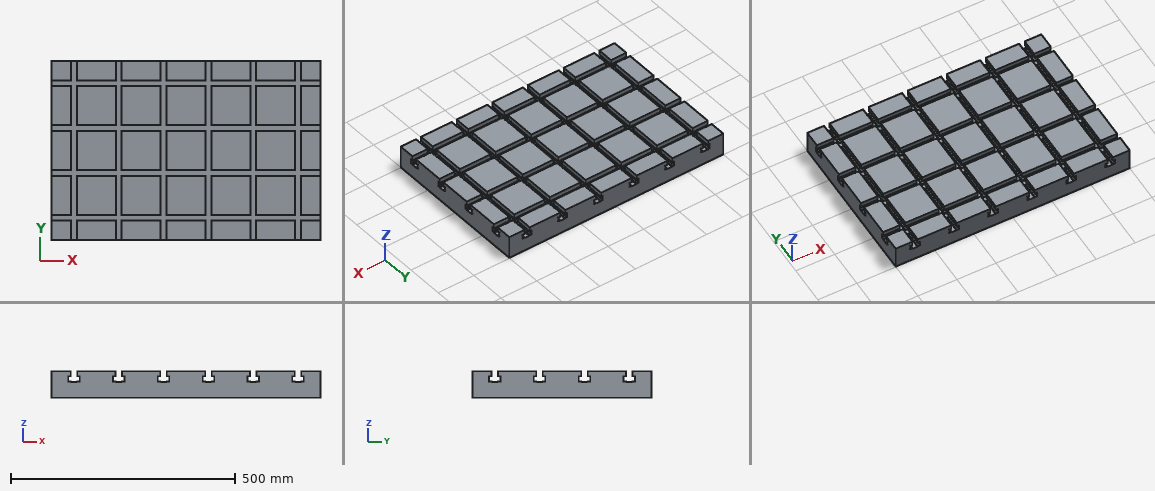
import cadquery as cq

LENGTH = 600.0
WIDTH = 400.0
HEIGHT = 60.0

SLOT_PITCH = 100.0
SLOTS_ACROSS_LENGTH = 6
SLOTS_ACROSS_WIDTH = 4

NECK_WIDTH = 14.0
NECK_DEPTH = 12.0
HEAD_WIDTH = 25.0
HEAD_DEPTH = 23.0
RELIEF_STEP = 1.0


def slot_section(plane, center):
    """T-slot outline on a vertical plane, centered at a distance along the plate side."""
    neck = NECK_WIDTH / 2
    head = HEAD_WIDTH / 2
    half = [
        (neck, 0),
        (neck, -NECK_DEPTH),
        (head, -NECK_DEPTH),
        (head, -HEAD_DEPTH),
        (neck, -HEAD_DEPTH),
        (neck - RELIEF_STEP, -HEAD_DEPTH - RELIEF_STEP),
    ]
    mirrored_half = [(-offset, rise) for offset, rise in reversed(half)]
    outline = [(center + offset, HEIGHT + rise) for offset, rise in half + mirrored_half]
    return cq.Workplane(plane).polyline(outline).close()


def slot_centers(count):
    """Positions of evenly pitched slots, symmetric about the plate center."""
    return [(index - (count - 1) / 2) * SLOT_PITCH for index in range(count)]


result = cq.Workplane("XY").box(LENGTH, WIDTH, HEIGHT, centered=(True, True, False))

for x_center in slot_centers(SLOTS_ACROSS_LENGTH):
    result = result.cut(slot_section("XZ", x_center).extrude(WIDTH / 2, both=True))

for y_center in slot_centers(SLOTS_ACROSS_WIDTH):
    result = result.cut(slot_section("YZ", y_center).extrude(LENGTH / 2, both=True))